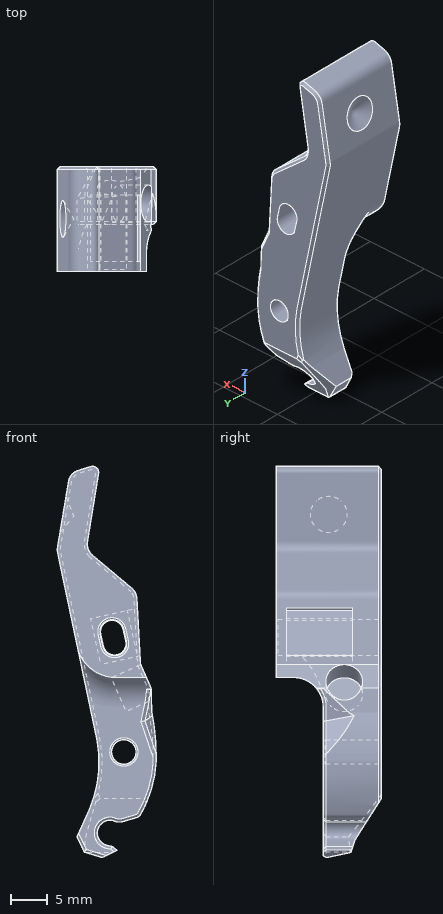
import cadquery as cq
import math

WIDTH = 14.25
ARM_FRONT = 6.35
EDGE_CHAMFER = 0.4
STEP_RADIUS = 4.0
BODY_TILT = 12.6
HOLE_DIAMETER = 3.3
HOLE_CHAMFER = 0.25
PIVOT_X, PIVOT_Z = 9.0, 14.3

ELBOW = (-0.05, 41.7)
TOP_LEFT = (1.7, 52.1)
TOP_RIGHT = (5.85, 53.4)
NECK = (3.9, 41.7)
SHOULDER = (10.75, 35.95)
SEAT_TOP = (11.3, 26.2)
SEAT_BOTTOM = (12.7, 22.95)
KNEE = (12.85, 19.6)
BELLY_UPPER_MIDDLE = (13.25, 16.8)
BELLY_TOP = (13.4, 14.05)
BELLY_LOW = (13.4, 13.0)
BELLY_LOWER_MIDDLE = (12.8, 9.35)
NOSE = (11.1, 5.5)
PALM_START = (8.9, 4.9)
PALM_MIDDLE = (8.15, 4.8)
BACK_LOW = (4.35, 6.6)
BACK_MIDDLE = (5.6, 12.1)
BACK_TOP = (5.35, 15.95)
CORNER_RADII = [
    (ELBOW, 2.1),
    (TOP_LEFT, 1.95),
    (TOP_RIGHT, 0.85),
    (NECK, 2.0),
    (SHOULDER, 2.1),
    (NOSE, 0.8),
]

HOOK_X, HOOK_Z = 7.15, 3.35
HOOK_DIAMETER = 3.45
HOOK_RADIUS = HOOK_DIAMETER / 2
HOOK_START = 78.0
HOOK_END = 260.0
HOOK_CORNER = (2.65, 2.8)
HEEL = (3.65, 0.75)
HOOK_BASE = (6.1, 0.0)
TIP = (8.1, 1.0)
TIP_TOP = (7.4, 1.55)

BLOCK_ARC_X = 8.0
BLOCK_ARC_RADIUS = 5.5
BLOCK_BOTTOM = 24.4
BLOCK_ARC_END = 195.0
TANGENT_LENGTH = 5.3

NOTCH_VERTEX = (11.75, 18.45)
NOTCH_TOP = (12.7, 22.95)
NOTCH_LOW = (13.45, 13.45)
NOTCH_SHIFT = (0.27, 0.19)
NOTCH_LEAD = 2.1
NOTCH_DEPTH = 6.35

TAPER_PROFILE = [(WIDTH, 8.0), (11.45, 3.6), (10.7, 2.4), (10.15, 0.7), (6.9, 0.0)]
HEEL_CUT_POINT = (4.95, 13.9, 8.05)
HEEL_CUT_SLOPE_X = 0.96
HEEL_CUT_SLOPE_Z = 0.36

BORE_DIAMETER = 5.0
BORE_CENTER = (12.2, 9.2, 23.8)
BORE_DEPTH = 4.25

DIMPLE_DIAMETER = 5.0
DIMPLE_ANGLE = 118.0
DIMPLE_Z = 46.5

SLOT_X, SLOT_Z = 7.6, 29.8
SLOT_TRAVEL = 1.65
INSERT_SLOT_WIDTH = 3.1
INSERT_FRONT, INSERT_BACK = 1.4, 10.35
INSERT_HEIGHT = 6.35
INSERT_INNER_END = -2.45
INSERT_OUTER_END = 2.65

ARM_FACE_POINT = (6.35, ARM_FRONT, 11.65)
HEEL_EDGES_END = 5.85
NOTCH_EDGES_TOP = 19.9

OUTSIDE = 21.2
TOLERANCE = 0.05


def on_circle(x, z, radius, degrees):
    angle = math.radians(degrees)
    return (x + radius * math.cos(angle), z + radius * math.sin(angle))


def xz_plane(y):
    """Plane facing +Y at the given depth, with local x along +Z and local y along +X."""
    return cq.Plane(origin=(0, y, 0), xDir=(0, 0, 1), normal=(0, 1, 0))


def sketch(y):
    return cq.Workplane(xz_plane(y))


def at(point):
    """(X, Z) to the local coordinates of xz_plane."""
    return (point[1], point[0])


def lever_blank():
    """The full-width outline with its rounded corners."""
    hook_start = on_circle(HOOK_X, HOOK_Z, HOOK_RADIUS, HOOK_START)
    hook_middle = on_circle(HOOK_X, HOOK_Z, HOOK_RADIUS, (HOOK_START + HOOK_END) / 2)
    hook_end = on_circle(HOOK_X, HOOK_Z, HOOK_RADIUS, HOOK_END)
    blank = (
        sketch(0)
        .polyline([at(p) for p in (ELBOW, TOP_LEFT, TOP_RIGHT, NECK, SHOULDER, SEAT_TOP,
                                   SEAT_BOTTOM, KNEE)])
        .threePointArc(at(BELLY_UPPER_MIDDLE), at(BELLY_TOP))
        .lineTo(*at(BELLY_LOW))
        .threePointArc(at(BELLY_LOWER_MIDDLE), at(NOSE))
        .lineTo(*at(PALM_START))
        .threePointArc(at(PALM_MIDDLE), at(hook_start))
        .threePointArc(at(hook_middle), at(hook_end))
        .lineTo(*at(TIP_TOP))
        .lineTo(*at(TIP))
        .lineTo(*at(HOOK_BASE))
        .lineTo(*at(HEEL))
        .lineTo(*at(HOOK_CORNER))
        .lineTo(*at(BACK_LOW))
        .threePointArc(at(BACK_MIDDLE), at(BACK_TOP))
        .close()
        .extrude(WIDTH)
    )
    for (x, z), radius in CORNER_RADII:
        corner = cq.selectors.NearestToPointSelector((x, WIDTH / 2, z))
        blank = blank.edges(corner).fillet(radius)
    return blank


def arm_relief():
    """Clears the front of the arm below the block, leaving the concave step fillet."""
    arc_z = BLOCK_BOTTOM + BLOCK_ARC_RADIUS
    arc_start = on_circle(BLOCK_ARC_X, arc_z, BLOCK_ARC_RADIUS, BLOCK_ARC_END)
    middle = on_circle(BLOCK_ARC_X, arc_z, BLOCK_ARC_RADIUS, (BLOCK_ARC_END + 270) / 2)
    tangent_end = on_circle(*arc_start, TANGENT_LENGTH, BLOCK_ARC_END - 90)
    relief = (
        sketch(-ARM_FRONT)
        .polyline([at(p) for p in ((-OUTSIDE, tangent_end[1]), tangent_end, arc_start)])
        .threePointArc(at(middle), at((BLOCK_ARC_X, BLOCK_BOTTOM)))
        .lineTo(*at((OUTSIDE, BLOCK_BOTTOM)))
        .lineTo(*at((OUTSIDE, -OUTSIDE)))
        .lineTo(*at((-OUTSIDE, -OUTSIDE)))
        .close()
        .extrude(2 * ARM_FRONT)
    )
    step_edge = cq.selectors.NearestToPointSelector((middle[0], ARM_FRONT, middle[1]))
    return relief.edges(step_edge).fillet(STEP_RADIUS)


def notch():
    """A V groove that drifts outward and upward as it goes back through the arm."""
    dx, dz = NOTCH_SHIFT
    corners = (NOTCH_VERTEX, NOTCH_TOP, (OUTSIDE, NOTCH_TOP[1]), (OUTSIDE, NOTCH_LOW[1]), NOTCH_LOW)
    y = ARM_FRONT - NOTCH_LEAD
    points = [cq.Vector(x - dx * NOTCH_LEAD, y, z - dz * NOTCH_LEAD) for x, z in corners]
    wire = cq.Wire.makePolygon(points, close=True)
    sweep = cq.Vector(dx, 1, dz) * (NOTCH_LEAD + NOTCH_DEPTH)
    return cq.Workplane(obj=cq.Solid.extrudeLinear(wire, [], sweep))


def back_taper():
    """Everything behind the tapered back of the hook and heel."""
    last_y = TAPER_PROFILE[-1][0]
    profile = TAPER_PROFILE + [(last_y, -OUTSIDE), (OUTSIDE, -OUTSIDE), (OUTSIDE, TAPER_PROFILE[0][1])]
    slope = cq.Workplane("YZ", origin=(-OUTSIDE, 0, 0)).polyline(profile).close().extrude(2 * OUTSIDE)
    heel_plane = cq.Plane(origin=HEEL_CUT_POINT, normal=(-HEEL_CUT_SLOPE_X, 1, -HEEL_CUT_SLOPE_Z))
    heel = cq.Workplane(heel_plane).rect(4 * OUTSIDE, 4 * OUTSIDE).extrude(OUTSIDE)
    return slope.union(heel)


def slot_plane(y):
    """Plane at the slot's centre, facing +Y, with its x axis square to the slot's length."""
    tilt = math.radians(BODY_TILT)
    return cq.Plane(origin=(SLOT_X, y, SLOT_Z), xDir=(math.cos(tilt), 0, math.sin(tilt)), normal=(0, 1, 0))


def slot_cutter(width):
    slot = cq.Workplane(slot_plane(0)).slot2D(SLOT_TRAVEL + width, width, 90)
    return slot.extrude(WIDTH)


def insert_block(outer_end):
    """Block around the slot, from its inner end out to outer_end toward the outer edge."""
    length = outer_end - INSERT_INNER_END
    block = cq.Workplane(slot_plane(INSERT_FRONT)).center(INSERT_INNER_END + length / 2, 0)
    return block.rect(length, INSERT_HEIGHT).extrude(INSERT_BACK - INSERT_FRONT)


def seat_bore():
    """Blind bore square to the slanted seat."""
    dx = SEAT_BOTTOM[0] - SEAT_TOP[0]
    dz = SEAT_BOTTOM[1] - SEAT_TOP[1]
    bore_plane = cq.Plane(origin=BORE_CENTER, xDir=(0, 1, 0), normal=(-dz, 0, dx))
    bore = cq.Workplane(bore_plane).workplane(offset=-BORE_DEPTH).circle(BORE_DIAMETER / 2)
    return bore.extrude(2 * BORE_DEPTH)


def dimple():
    """Cone sunk square into the finger pad, midway across its width."""
    run = (TOP_LEFT[0] - ELBOW[0]) / (TOP_LEFT[1] - ELBOW[1])
    x = ELBOW[0] + (DIMPLE_Z - ELBOW[1]) * run
    radius = DIMPLE_DIAMETER / 2
    depth = radius / math.tan(math.radians(DIMPLE_ANGLE / 2))
    cone = cq.Solid.makeCone(radius, 0, depth, cq.Vector(x, WIDTH / 2, DIMPLE_Z), cq.Vector(1, 0, -run))
    return cq.Workplane(obj=cone)


def pivot_hole():
    return sketch(0).center(PIVOT_Z, PIVOT_X).circle(HOLE_DIAMETER / 2).extrude(WIDTH)


def rim(x, y, z, reach):
    """Edges lying on the plane at depth y within reach of a hole's centre."""
    low = (x - reach, y - TOLERANCE, z - reach)
    high = (x + reach, y + TOLERANCE, z + reach)
    return cq.selectors.BoxSelector(low, high, boundingbox=True)


def chamfer_arm_edges(body):
    """Chamfers the outline of the arm's front face: the heel, then from hook to notch."""
    heel = cq.selectors.BoxSelector((0, 0, 0), (HEEL_EDGES_END, WIDTH, HOOK_Z))
    hook = cq.selectors.BoxSelector((HEEL_EDGES_END, 0, TIP[1]), (OUTSIDE, WIDTH, NOTCH_EDGES_TOP))
    for edges in (heel, hook):
        arm_face = body.faces(cq.selectors.NearestToPointSelector(ARM_FACE_POINT))
        body = arm_face.edges(edges).chamfer(EDGE_CHAMFER)
    return body


def lever():
    """Main body, with an open pocket for the insert."""
    body = lever_blank().cut(arm_relief()).cut(back_taper())
    taper_start = TAPER_PROFILE[0][1]
    back_edges = body.faces(">Y").edges()
    body = back_edges.filter(lambda edge: edge.Center().z > taper_start + TOLERANCE).chamfer(EDGE_CHAMFER)
    body = body.cut(notch())
    body = chamfer_arm_edges(body)
    body = body.cut(seat_bore()).cut(dimple()).cut(pivot_hole()).cut(slot_cutter(HOLE_DIAMETER))
    body = body.edges(rim(PIVOT_X, ARM_FRONT, PIVOT_Z, HOLE_DIAMETER)).chamfer(HOLE_CHAMFER)
    body = body.edges(rim(SLOT_X, 0, SLOT_Z, HOLE_DIAMETER)).chamfer(HOLE_CHAMFER)
    return body.cut(insert_block(OUTSIDE))


def insert():
    """Separate block that sits in the pocket and narrows the slot slightly."""
    return insert_block(INSERT_OUTER_END).cut(slot_cutter(INSERT_SLOT_WIDTH))


result = cq.Compound.makeCompound([lever().val(), insert().val()])